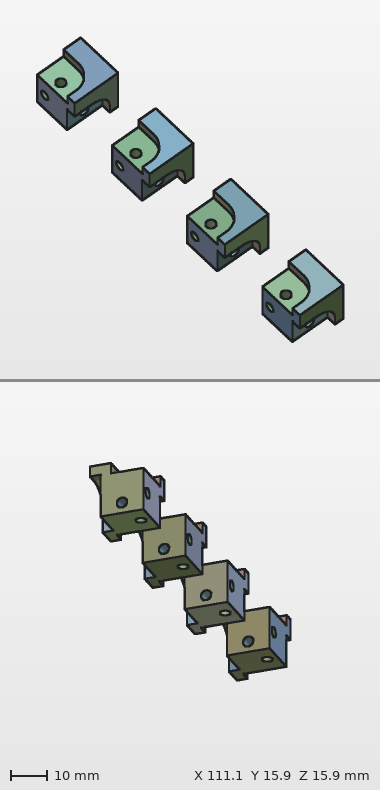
import cadquery as cq

ROW_LENGTH = 111.1
BLOCK_COUNT = 4
MODULES_PER_SIDE = 5
MODULES_PER_PITCH = 10
RECESS_CLEARANCE = 0.1
HOLE_DIAMETER = 3.0

row_modules = (BLOCK_COUNT - 1) * MODULES_PER_PITCH + MODULES_PER_SIDE
module = ROW_LENGTH / row_modules
side = MODULES_PER_SIDE * module
pitch = MODULES_PER_PITCH * module

recess_length = 4 * module + RECESS_CLEARANCE
recess_width = 3 * module + RECESS_CLEARANCE
recess_depth = module
corner_radius = 2 * module + RECESS_CLEARANCE

hole_along_length = 2 * module
hole_along_width = module

FACE_PLANES = [
    cq.Plane(origin=(side, 0, 0), xDir=(0, 1, 0), normal=(1, 0, 0)),
    cq.Plane(origin=(0, side, 0), xDir=(0, 0, 1), normal=(0, 1, 0)),
    cq.Plane(origin=(0, 0, side), xDir=(1, 0, 0), normal=(0, 0, 1)),
]


def face_recess(plane):
    """Rectangular recess starting at the plane origin, rounded at its inner corner."""
    return (
        cq.Workplane(plane)
        .lineTo(recess_length, 0)
        .lineTo(recess_length, recess_width - corner_radius)
        .radiusArc((recess_length - corner_radius, recess_width), -corner_radius)
        .lineTo(0, recess_width)
        .close()
        .extrude(-recess_depth)
    )


def through_hole(plane):
    """Hole from the face through the whole block."""
    return (
        cq.Workplane(plane)
        .center(hole_along_length, hole_along_width)
        .circle(HOLE_DIAMETER / 2)
        .extrude(-side)
    )


def corner_block():
    """Cube with the same recess and hole in its +X, +Y and +Z faces."""
    block = cq.Workplane("XY").box(side, side, side, centered=False)
    for plane in FACE_PLANES:
        block = block.cut(face_recess(plane))
        block = block.cut(through_hole(plane))
    return block


corner_blocks = []
for index in range(BLOCK_COUNT):
    placed_block = corner_block().translate((index * pitch, 0, 0))
    corner_blocks.append(placed_block.solids().val())

result = cq.Compound.makeCompound(corner_blocks)